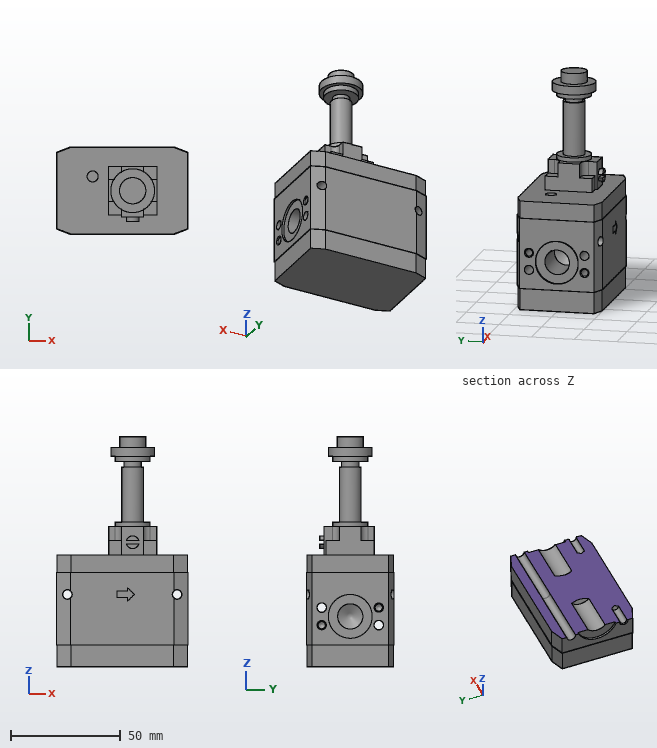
import cadquery as cq
import math

BODY_LENGTH = 60.0
BODY_WIDTH = 40.0
CORNER_X = 6.5
CORNER_Y = 2.5
COVER_INSET = 0.25
BOTTOM_COVER_TOP = 10.0
BLOCK_TOP = 43.0
BODY_TOP = 51.0

PORT_Z = 23.0
PORT_DIAMETER = 11.5
PORT_DEPTH = 20.0
PORT_RECESS_DIAMETER = 20.0
PORT_RECESS_DEPTH = 1.0
DRILL_POINT_ANGLE = 118.0

SCREW_HOLE_OFFSET_Y = 13.0
SCREW_HOLE_OFFSET_Z = 4.0
CLEARANCE_DIAMETER = 4.2
TAPPED_DIAMETER = 3.3
TAPPED_DEPTH = 10.0

CROSS_HOLE_X = 25.0
FRONT_FEATURE_Z = 33.0
CROSS_HOLE_DIAMETER = 4.2
ARROW_TAIL_X = -2.5
ARROW_HEAD_X = 2.5
ARROW_SHAFT_HALF = 1.5
ARROW_HEAD_HALF = 3.0
ARROW_DEPTH = 0.2

VENT_X = -13.5
VENT_Y = 6.5
VENT_DIAMETER = 5.0
VENT_DEPTH = BODY_TOP - BLOCK_TOP

PILOT_X = 4.75
SEAT_SIZE = 22.0
SEAT_HEIGHT = 13.0
SEAT_STEP_HEIGHT = 6.5
ARM_WIDTH = 10.0
NOTCH_RADIUS = 3.0
LUG_PROJECTION = 1.0
SEAT_TOP = BODY_TOP + SEAT_HEIGHT

SCREW_DIAMETER = 5.8
SCREW_PROJECTION = 2.0
SCREW_SLOT_WIDTH = 1.6
SCREW_HEIGHT = 5.8

STEM_SECTIONS = [
    (16.0, 66.0),
    (10.0, 91.0),
    (8.0, 93.5),
    (16.0, 96.0),
    (20.0, 100.0),
    (12.0, 105.0),
]


def corner_cut_outline():
    """Corner points of the rectangular body outline with cut corners."""
    x, y = BODY_LENGTH / 2, BODY_WIDTH / 2
    xi, yi = x - CORNER_X, y - CORNER_Y
    return [(xi, -y), (x, -yi), (x, yi), (xi, y), (-xi, y), (-x, yi), (-x, -yi), (-xi, -y)]


def cut_corner_prism(inset, bottom, top):
    """Upright prism of the body outline, with every side moved inwards by inset."""
    outline = cq.Workplane("XY", origin=(0, 0, bottom)).polyline(corner_cut_outline()).close()
    if inset > 0:
        outline = outline.offset2D(-inset, "intersection")
    return outline.extrude(top - bottom)


def make_body():
    """Middle block between two slightly smaller covers."""
    bottom_cover = cut_corner_prism(COVER_INSET, 0, BOTTOM_COVER_TOP)
    block = cut_corner_prism(0, BOTTOM_COVER_TOP, BLOCK_TOP)
    top_cover = cut_corner_prism(COVER_INSET, BLOCK_TOP, BODY_TOP)
    return bottom_cover.union(block).union(top_cover)


def x_drill(diameter, depth, y, z):
    """Drill with a conical tip, entering the -X end face; depth excludes the tip."""
    radius = diameter / 2
    tip = radius / math.tan(math.radians(DRILL_POINT_ANGLE / 2))
    return (
        cq.Workplane("XY")
        .polyline([(0, 0), (depth + tip, 0), (depth, radius), (0, radius)])
        .close()
        .revolve(360, (0, 0), (1, 0))
        .translate((-BODY_LENGTH / 2, y, z))
    )


def make_port():
    """Recess, port bore and two tapped holes of the -X end face."""
    recess = (
        cq.Workplane("YZ", origin=(-BODY_LENGTH / 2, 0, PORT_Z))
        .circle(PORT_RECESS_DIAMETER / 2)
        .extrude(PORT_RECESS_DEPTH)
    )
    port = recess.union(x_drill(PORT_DIAMETER, PORT_DEPTH, 0, PORT_Z))
    countersink_depth = (CLEARANCE_DIAMETER - TAPPED_DIAMETER) / 2
    for side in (-1, 1):
        y = side * SCREW_HOLE_OFFSET_Y
        z = PORT_Z + side * SCREW_HOLE_OFFSET_Z
        countersink = cq.Solid.makeCone(
            CLEARANCE_DIAMETER / 2,
            TAPPED_DIAMETER / 2,
            countersink_depth,
            cq.Vector(-BODY_LENGTH / 2, y, z),
            cq.Vector(1, 0, 0),
        )
        port = port.union(x_drill(TAPPED_DIAMETER, TAPPED_DEPTH, y, z)).union(cq.Workplane(countersink))
    return port


def make_through_holes():
    """Two clearance holes along X and two cross holes along Y."""
    along_x = (
        cq.Workplane("YZ", origin=(0, 0, PORT_Z))
        .pushPoints([
            (-SCREW_HOLE_OFFSET_Y, SCREW_HOLE_OFFSET_Z),
            (SCREW_HOLE_OFFSET_Y, -SCREW_HOLE_OFFSET_Z),
        ])
        .circle(CLEARANCE_DIAMETER / 2)
        .extrude(BODY_LENGTH / 2, both=True)
    )
    along_y = (
        cq.Workplane("XZ", origin=(0, 0, FRONT_FEATURE_Z))
        .pushPoints([(-CROSS_HOLE_X, 0), (CROSS_HOLE_X, 0)])
        .circle(CROSS_HOLE_DIAMETER / 2)
        .extrude(BODY_WIDTH / 2, both=True)
    )
    return along_x.union(along_y)


def make_arrow():
    """Shallow flow arrow sunk into the front face, with a 45 degree head."""
    return (
        cq.Workplane("XZ", origin=(0, -BODY_WIDTH / 2, FRONT_FEATURE_Z))
        .polyline([
            (ARROW_TAIL_X, -ARROW_SHAFT_HALF),
            (ARROW_HEAD_X, -ARROW_SHAFT_HALF),
            (ARROW_HEAD_X, -ARROW_HEAD_HALF),
            (ARROW_HEAD_X + ARROW_HEAD_HALF, 0),
            (ARROW_HEAD_X, ARROW_HEAD_HALF),
            (ARROW_HEAD_X, ARROW_SHAFT_HALF),
            (ARROW_TAIL_X, ARROW_SHAFT_HALF),
        ])
        .close()
        .extrude(-ARROW_DEPTH)
    )


def make_vent():
    """Round hole through the thickness of the top cover."""
    return (
        cq.Workplane("XY", origin=(VENT_X, VENT_Y, BODY_TOP))
        .circle(VENT_DIAMETER / 2)
        .extrude(-VENT_DEPTH)
    )


def make_seat():
    """Square seat with four notched upper corners and a lug on its front."""
    seat = (
        cq.Workplane("XY", origin=(PILOT_X, 0, BODY_TOP))
        .rect(SEAT_SIZE, SEAT_SIZE)
        .extrude(SEAT_HEIGHT)
    )
    notch_size = SEAT_SIZE - ARM_WIDTH
    notches = (
        cq.Workplane("XY", origin=(PILOT_X, 0, BODY_TOP + SEAT_STEP_HEIGHT))
        .rect(SEAT_SIZE, SEAT_SIZE, forConstruction=True)
        .vertices()
        .rect(notch_size, notch_size)
        .extrude(SEAT_HEIGHT - SEAT_STEP_HEIGHT)
        .edges("|Z")
        .fillet(NOTCH_RADIUS)
    )
    lug_depth = SEAT_SIZE / 2 + LUG_PROJECTION
    lug = (
        cq.Workplane("XY", origin=(PILOT_X, -lug_depth / 2, BODY_TOP))
        .rect(ARM_WIDTH, lug_depth)
        .extrude(SEAT_HEIGHT)
    )
    return seat.cut(notches).union(lug)


def make_screw():
    """Slotted screw head; its slot is cut down to the lug face."""
    lug_face_y = -SEAT_SIZE / 2 - LUG_PROJECTION
    plane = cq.Workplane("XZ", origin=(PILOT_X, lug_face_y, BODY_TOP + SCREW_HEIGHT))
    head = plane.circle(SCREW_DIAMETER / 2).extrude(SCREW_PROJECTION)
    slot = plane.rect(SCREW_DIAMETER, SCREW_SLOT_WIDTH).extrude(SCREW_PROJECTION)
    return head.cut(slot)


def add_stem(part):
    """Add the stack of round stem sections, each standing on the one below."""
    bottom = SEAT_TOP
    for diameter, top in STEM_SECTIONS:
        section = (
            cq.Workplane("XY", origin=(PILOT_X, 0, bottom))
            .circle(diameter / 2)
            .extrude(top - bottom)
        )
        part = part.union(section)
        bottom = top
    return part


port = make_port()
body = make_body().cut(port).cut(port.mirror("YZ"))
body = body.cut(make_through_holes()).cut(make_arrow()).cut(make_vent())
result = add_stem(body.union(make_seat()).union(make_screw()))